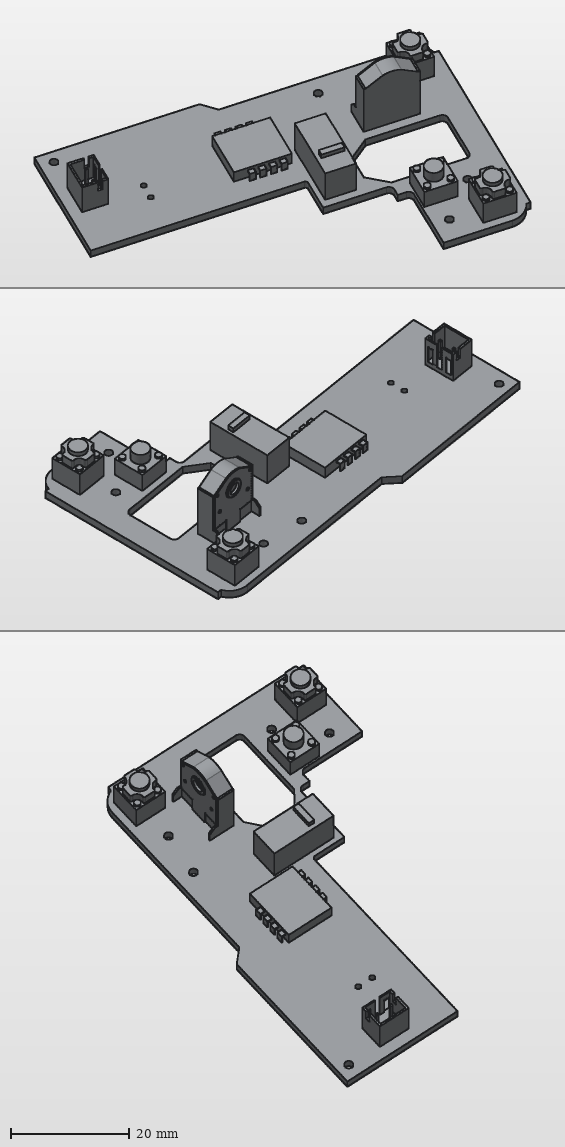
import cadquery as cq
import math

BOARD_LENGTH = 72.65
BOARD_WIDTH = 46.1
BOARD_THICK = 1.6
STEM_RIGHT = 23.6
HEAD_LEFT = 2.5
SHOULDER_TOP = 33.05
TAB_RIGHT = 30.45
TAB_BOTTOM = 40.0
STEP_RIGHT = 32.85
STEP_BOTTOM = 52.75
WING_BOTTOM = 55.35
TAB_FILLET = 0.5
STEP_FILLET = 1.0
CENTER_X = (HEAD_LEFT + BOARD_WIDTH) / 2
CORNER_RADIUS = 4.0
CORNER_START = 68.1
CORNER_INSET = 2.6

WINDOW_HALF = 5.45
WINDOW_FOOT_HALF = 2.5
WINDOW_TOP = 67.8
WINDOW_SHOULDER = 52.95
WINDOW_BOTTOM = 49.2
WINDOW_FILLET = 1.0

MOUNT_HOLE_DIA = 1.5
MOUNT_HOLES = [(2.3, 2.6), (5.8, 50.0), (7.05, 58.5), (34.3, 65.1), (41.55, 58.5)]
LEAD_HOLE_DIA = 1.0
LEAD_HOLES = [(13.45, 14.3), (16.4, 14.3)]


def block(x0, x1, y0, y1, z0, z1):
    """Box given by its limits along the three axes."""
    return cq.Workplane("XY").box(x1 - x0, y1 - y0, z1 - z0, centered=False).translate((x0, y0, z0))


def cylinder(x, y, diameter, z0, z1):
    """Upright cylinder."""
    return cq.Workplane("XY", origin=(x, y, z0)).circle(diameter / 2).extrude(z1 - z0)


def make_board():
    corner_rise = math.sqrt(CORNER_RADIUS**2 - (CORNER_RADIUS - CORNER_INSET) ** 2)
    corner_end = CORNER_START + corner_rise
    board = (
        cq.Workplane("XY", origin=(0, 0, -BOARD_THICK))
        .lineTo(STEM_RIGHT, 0)
        .lineTo(STEM_RIGHT, TAB_BOTTOM)
        .lineTo(TAB_RIGHT, TAB_BOTTOM)
        .lineTo(TAB_RIGHT, STEP_BOTTOM)
        .lineTo(STEP_RIGHT, STEP_BOTTOM)
        .lineTo(STEP_RIGHT, WING_BOTTOM)
        .lineTo(BOARD_WIDTH, WING_BOTTOM)
        .lineTo(BOARD_WIDTH, CORNER_START)
        .radiusArc((BOARD_WIDTH - CORNER_INSET, corner_end), -CORNER_RADIUS)
        .lineTo(BOARD_WIDTH - CORNER_INSET, BOARD_LENGTH)
        .lineTo(HEAD_LEFT + CORNER_INSET, BOARD_LENGTH)
        .lineTo(HEAD_LEFT + CORNER_INSET, corner_end)
        .radiusArc((HEAD_LEFT, CORNER_START), -CORNER_RADIUS)
        .lineTo(HEAD_LEFT, SHOULDER_TOP)
        .lineTo(0, SHOULDER_TOP - HEAD_LEFT)
        .close()
        .extrude(BOARD_THICK)
    )
    for corner, radius in [
        ((STEM_RIGHT, TAB_BOTTOM), TAB_FILLET),
        ((TAB_RIGHT, STEP_BOTTOM), STEP_FILLET),
        ((STEP_RIGHT, WING_BOTTOM), STEP_FILLET),
    ]:
        nearest = cq.selectors.NearestToPointSelector((*corner, -BOARD_THICK / 2))
        board = board.edges(nearest).fillet(radius)

    window = (
        cq.Workplane("XY", origin=(CENTER_X, 0, -BOARD_THICK))
        .moveTo(-WINDOW_FOOT_HALF, WINDOW_BOTTOM)
        .lineTo(WINDOW_FOOT_HALF, WINDOW_BOTTOM)
        .lineTo(WINDOW_HALF, WINDOW_SHOULDER)
        .lineTo(WINDOW_HALF, WINDOW_TOP)
        .lineTo(-WINDOW_HALF, WINDOW_TOP)
        .lineTo(-WINDOW_HALF, WINDOW_SHOULDER)
        .close()
        .extrude(BOARD_THICK)
        .faces(">Y")
        .edges("|Z")
        .fillet(WINDOW_FILLET)
    )
    board = board.cut(window)
    for x, y in MOUNT_HOLES:
        board = board.cut(cylinder(x, y, MOUNT_HOLE_DIA, -BOARD_THICK, 0))
    for x, y in LEAD_HOLES:
        board = board.cut(cylinder(x, y, LEAD_HOLE_DIA, -BOARD_THICK, 0))
    return board


BUTTON_SIDE = 6.2
BUTTON_PIN_DIA = 1.2
BUTTON_PIN_HEIGHT = 0.4
BUTTON_PIN_OFFSET = 2.2
PLUNGER_DIA = 3.4
TALL_BODY = 4.8
TALL_TOP = 7.4
TALL_CENTERS = [(7.05, 66.5), (41.55, 66.5)]
SHORT_BODY = 3.7
SHORT_TOP = 5.9
SHORT_CENTER = (34.15, 58.85)
CAP_HALF = 2.8
CAP_TOP = 6.55
CAP_ARM_HALF = 1.2
CAP_NOTCH_RADIUS = 1.15
CAP_EDGE_RADIUS = 0.3


def make_button(center, body_top, plunger_top):
    x, y = center
    half = BUTTON_SIDE / 2
    button = block(x - half, x + half, y - half, y + half, 0, body_top)
    for sx in (-1, 1):
        for sy in (-1, 1):
            pin_x = x + sx * BUTTON_PIN_OFFSET
            pin_y = y + sy * BUTTON_PIN_OFFSET
            pin = cylinder(pin_x, pin_y, BUTTON_PIN_DIA, body_top, body_top + BUTTON_PIN_HEIGHT)
            button = button.union(pin)
    return button.union(cylinder(x, y, PLUNGER_DIA, body_top, plunger_top))


def make_cap(center):
    height = CAP_TOP - TALL_BODY
    long_side = 2 * CAP_HALF
    short_side = 2 * CAP_ARM_HALF
    arm_along_x = cq.Workplane("XY").rect(long_side, short_side).extrude(height)
    arm_along_y = cq.Workplane("XY").rect(short_side, long_side).extrude(height)
    inner_edges = cq.selectors.BoxSelector(
        (-CAP_HALF / 2, -CAP_HALF / 2, 0), (CAP_HALF / 2, CAP_HALF / 2, height)
    )
    cap = arm_along_x.union(arm_along_y)
    cap = cap.edges("|Z").edges(inner_edges).fillet(CAP_NOTCH_RADIUS)
    cap = cap.faces("<X or >X or <Y or >Y").edges("|Z").fillet(CAP_EDGE_RADIUS)
    return cap.translate((*center, TALL_BODY))


ENC_Y = 58.6
ENC_FACE = 13.6
ENC_HOUSING = 13.8
ENC_BACK = 17.15
ENC_HALF_INNER = 4.9
ENC_FACE_INSET = 0.1
ENC_HALF_OUTER = 5.2
ENC_SHOULDER = 10.5
ENC_ARC_HALF = 1.75
ENC_ARC_START = 12.4
ENC_TOP = 12.8
GUSSET_TIP_X = 12.0
GUSSET_TIP_HEIGHT = 1.75
GUSSET_HEIGHT = 2.8
GUSSET_SLOPE_END = 13.1
FOOT_INNER = 1.75
HUB_HEIGHT = 9.0
HUB_DIA = 3.4
HUB_BORE = 2.25
HUB_BORE_END = 13.95
HUB_OPENING_DIA = 3.7
HUB_FACE = 13.4
RIVET_LENGTH = 0.1
LOW_RIVET_DIA = 0.64
LOW_RIVET = (3.6, 6.2)
HIGH_RIVET_DIA = 0.545
HIGH_RIVET = (4.2, 10.3)


def along_x(y, z, diameter, x0, x1):
    """Cylinder lying along X."""
    return cq.Workplane("YZ", origin=(x0, y, z)).circle(diameter / 2).extrude(x1 - x0)


def encoder_slab(x0, x1, inset):
    """Slab with the arched encoder outline, drawn in by the given inset."""
    half = ENC_HALF_INNER - inset
    return (
        cq.Workplane("YZ", origin=(x0, ENC_Y, 0))
        .moveTo(-half, 0)
        .lineTo(-half, ENC_SHOULDER - inset)
        .lineTo(-ENC_ARC_HALF, ENC_ARC_START - inset)
        .threePointArc((0, ENC_TOP - inset), (ENC_ARC_HALF, ENC_ARC_START - inset))
        .lineTo(half, ENC_SHOULDER - inset)
        .lineTo(half, 0)
        .close()
        .extrude(x1 - x0)
    )


def make_encoder():
    plate = encoder_slab(ENC_FACE, ENC_HOUSING, ENC_FACE_INSET)
    plate = plate.cut(along_x(ENC_Y, HUB_HEIGHT, HUB_OPENING_DIA, ENC_FACE, ENC_HOUSING))
    for side in (-1, 1):
        foot_ends = sorted((ENC_Y + side * FOOT_INNER, ENC_Y + side * ENC_HALF_INNER))
        plate = plate.cut(block(ENC_FACE, ENC_HOUSING, *foot_ends, 0, GUSSET_HEIGHT))
    encoder = encoder_slab(ENC_HOUSING, ENC_BACK, 0).union(plate)
    wall = (
        cq.Workplane("XZ")
        .moveTo(GUSSET_TIP_X, 0)
        .lineTo(GUSSET_TIP_X, GUSSET_TIP_HEIGHT)
        .lineTo(GUSSET_SLOPE_END, GUSSET_HEIGHT)
        .lineTo(ENC_HOUSING, GUSSET_HEIGHT)
        .lineTo(ENC_HOUSING, ENC_SHOULDER)
        .lineTo(ENC_BACK, ENC_SHOULDER)
        .lineTo(ENC_BACK, 0)
        .close()
        .extrude(ENC_HALF_OUTER - ENC_HALF_INNER)
    )
    encoder = encoder.union(wall.translate((0, ENC_Y - ENC_HALF_INNER, 0)))
    encoder = encoder.union(wall.translate((0, ENC_Y + ENC_HALF_OUTER, 0)))
    for side in (-1, 1):
        for (offset, height), diameter in ((LOW_RIVET, LOW_RIVET_DIA), (HIGH_RIVET, HIGH_RIVET_DIA)):
            rivet = along_x(ENC_Y + side * offset, height, diameter, ENC_FACE - RIVET_LENGTH, ENC_FACE)
            encoder = encoder.union(rivet)
    encoder = encoder.union(along_x(ENC_Y, HUB_HEIGHT, HUB_DIA, HUB_FACE, ENC_HOUSING))
    return encoder.cut(along_x(ENC_Y, HUB_HEIGHT, HUB_BORE, HUB_FACE, HUB_BORE_END))


SWITCH_X = (16.2, 28.9)
SWITCH_Y = (41.05, 46.8)
SWITCH_HEIGHT = 6.55
SLIDER_X = (24.3, 25.4)
SLIDER_Y = (41.9, 46.2)
SLIDER_TOP = 7.4


def make_slide_switch():
    body = block(*SWITCH_X, *SWITCH_Y, 0, SWITCH_HEIGHT)
    slider = block(*SLIDER_X, *SLIDER_Y, SWITCH_HEIGHT, SLIDER_TOP)
    return body.union(slider)


CHIP_LEFT, CHIP_RIGHT = 9.65, 18.8
CHIP_BOTTOM, CHIP_TOP = 28.6, 39.4
CHIP_HEIGHT = 2.3
LEAD_COUNT = 4
LEAD_PITCH = 1.95
LEAD_WIDTH = 1.15
LEAD_LENGTH = 0.95
LEAD_HEIGHT = 1.75
LEAD_THICK = 0.2
LEFT_LEAD_Y = 30.0
RIGHT_LEAD_Y = 31.75


def make_lead(side, body_x, y):
    """Sheet lead leaving the body towards the given side and bent down to the board."""
    tip_x = body_x + side * LEAD_LENGTH
    inner_x = tip_x - side * LEAD_THICK
    y0 = y - LEAD_WIDTH / 2
    y1 = y + LEAD_WIDTH / 2
    arm = block(*sorted((body_x, tip_x)), y0, y1, LEAD_HEIGHT - LEAD_THICK, LEAD_HEIGHT)
    leg = block(*sorted((inner_x, tip_x)), y0, y1, 0, LEAD_HEIGHT)
    return arm.union(leg)


def make_chip():
    chip = block(CHIP_LEFT, CHIP_RIGHT, CHIP_BOTTOM, CHIP_TOP, 0, CHIP_HEIGHT)
    for i in range(LEAD_COUNT):
        chip = chip.union(make_lead(-1, CHIP_LEFT, LEFT_LEAD_Y + i * LEAD_PITCH))
        chip = chip.union(make_lead(1, CHIP_RIGHT, RIGHT_LEAD_Y + i * LEAD_PITCH))
    return chip


SOCKET_LEFT, SOCKET_RIGHT = 8.7, 14.9
SOCKET_BOTTOM, SOCKET_TOP = 2.25, 7.1
SOCKET_HEIGHT = 6.1
SOCKET_SIDE_WALL = 0.4
SOCKET_FRONT_WALL = 0.35
SOCKET_BACK_WALL = 0.2
SOCKET_FLOOR = 1.0
SIDE_SLOT = (5.2, 6.1)
SIDE_SLOT_DEPTH = 2.0
BACK_SLOT_WIDTH = 1.0
BACK_WINDOW = (1.45, 2.55)
BACK_WINDOW_TOP = 4.35
CONTACT_SIDE = 0.4
CONTACT_Y = 5.1
CONTACT_OFFSET = 1.5
CONTACT_TOP = 5.1


def make_socket():
    middle = (SOCKET_LEFT + SOCKET_RIGHT) / 2
    inner_back = SOCKET_TOP - SOCKET_BACK_WALL
    slot_floor = SOCKET_HEIGHT - SIDE_SLOT_DEPTH
    slot_left = middle - BACK_SLOT_WIDTH / 2
    slot_right = middle + BACK_SLOT_WIDTH / 2
    half_contact = CONTACT_SIDE / 2
    socket = block(SOCKET_LEFT, SOCKET_RIGHT, SOCKET_BOTTOM, SOCKET_TOP, 0, SOCKET_HEIGHT)
    cavity = block(
        SOCKET_LEFT + SOCKET_SIDE_WALL,
        SOCKET_RIGHT - SOCKET_SIDE_WALL,
        SOCKET_BOTTOM + SOCKET_FRONT_WALL,
        inner_back,
        SOCKET_FLOOR,
        SOCKET_HEIGHT,
    )
    side_slot = block(SOCKET_LEFT, SOCKET_RIGHT, *SIDE_SLOT, slot_floor, SOCKET_HEIGHT)
    back_slot = block(slot_left, slot_right, inner_back, SOCKET_TOP, SOCKET_FLOOR, SOCKET_HEIGHT)
    socket = socket.cut(cavity).cut(side_slot).cut(back_slot)
    for side in (-1, 1):
        window_ends = sorted((middle + side * BACK_WINDOW[0], middle + side * BACK_WINDOW[1]))
        window = block(*window_ends, inner_back, SOCKET_TOP, SOCKET_FLOOR, BACK_WINDOW_TOP)
        socket = socket.cut(window)
    for x in (middle - CONTACT_OFFSET, middle + CONTACT_OFFSET):
        contact = block(
            x - half_contact,
            x + half_contact,
            CONTACT_Y - half_contact,
            CONTACT_Y + half_contact,
            SOCKET_FLOOR,
            CONTACT_TOP,
        )
        socket = socket.union(contact)
    return socket


UNDER_LEFT, UNDER_RIGHT = 10.75, 18.9
UNDER_BOTTOM, UNDER_TOP = 12.7, 17.15
UNDER_STEP = 15.85
UNDER_STEP_INSET = 0.5
UNDER_DEPTH = 1.5


def make_underside_part():
    z0 = -BOARD_THICK - UNDER_DEPTH
    z1 = -BOARD_THICK
    body = block(UNDER_LEFT, UNDER_RIGHT, UNDER_BOTTOM, UNDER_STEP, z0, z1)
    nose_left = UNDER_LEFT + UNDER_STEP_INSET
    nose_right = UNDER_RIGHT - UNDER_STEP_INSET
    return body.union(block(nose_left, nose_right, UNDER_STEP, UNDER_TOP, z0, z1))


result = make_board()
for tall_center in TALL_CENTERS:
    result = result.union(make_button(tall_center, TALL_BODY, TALL_TOP))
    result = result.union(make_cap(tall_center))
result = result.union(make_button(SHORT_CENTER, SHORT_BODY, SHORT_TOP))
result = result.union(make_encoder())
result = result.union(make_slide_switch())
result = result.union(make_chip())
result = result.union(make_socket())
result = result.union(make_underside_part())